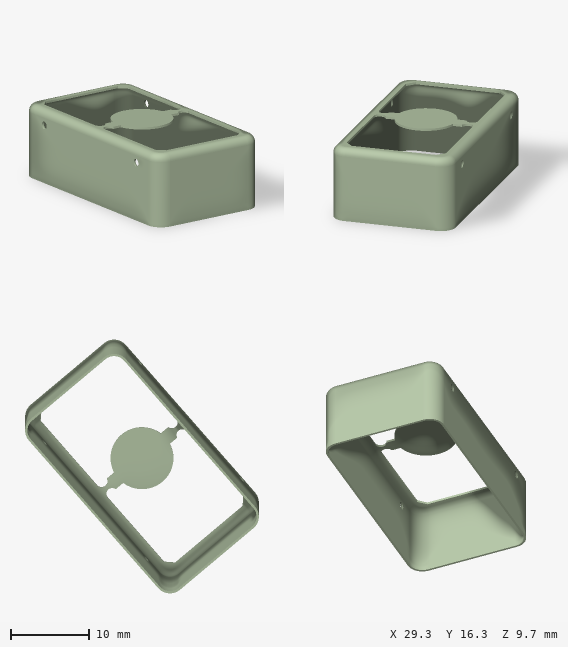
import cadquery as cq

length = 29.3
width = 16.3
height = 9.7
corner_radius = 2.0
top_round = 1.0
wall = 0.3

plate_thickness = wall
window_length = 26.2
window_width = 13.3
window_chamfer = 1.0

disc_radius = 4.0
bridge_width = 1.75
neck_width = 0.6
notch_radius = 0.75

pin_diameter = 1.0
pin_spacing = 19.98
pin_depth_below_top = 2.0


def rounded_block(inset):
    """Block on Z = 0 with rounded sides and top rim, set in evenly from the outer surface."""
    return (
        cq.Workplane("XY")
        .box(length - 2 * inset, width - 2 * inset, height - inset, centered=(True, True, False))
        .edges("|Z")
        .fillet(corner_radius - inset)
        .faces(">Z")
        .edges()
        .fillet(top_round - inset)
    )


def shell():
    """Open-bottomed box with an even wall and a rounded top rim."""
    return rounded_block(0).cut(rounded_block(wall))


def plate_layer():
    """Workplane at the underside of the top plate."""
    return cq.Workplane("XY").workplane(offset=height - plate_thickness)


def window():
    """Chamfered opening, less the disc and its bridges."""
    opening = plate_layer().rect(window_length, window_width).extrude(plate_thickness)
    opening = opening.edges("|Z").chamfer(window_chamfer)
    disc = plate_layer().circle(disc_radius).extrude(plate_thickness)
    bridges = plate_layer().rect(bridge_width, window_width).extrude(plate_thickness)
    notch_x = neck_width / 2 + notch_radius
    notch_y = window_width / 2 - notch_radius
    notches = (
        plate_layer()
        .rect(2 * notch_x, 2 * notch_y, forConstruction=True)
        .vertices()
        .circle(notch_radius)
        .extrude(plate_thickness)
    )
    return opening.cut(disc.union(bridges.cut(notches)))


def pin_holes():
    """Two cylinders running through both long walls."""
    return (
        cq.Workplane("XZ")
        .pushPoints([(side * pin_spacing / 2, height - pin_depth_below_top) for side in (-1, 1)])
        .circle(pin_diameter / 2)
        .extrude(width / 2, both=True)
    )


result = shell().cut(window()).cut(pin_holes())